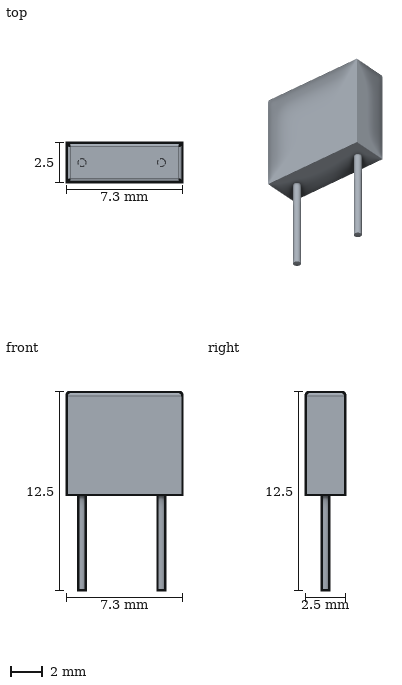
import cadquery as cq

body_length = 7.3
body_width = 2.5
body_height = 6.5
top_edge_radius = 0.25

lead_diameter = 0.5
lead_length = 6.0
lead_pitch = 5.0
lead_pair_offset = -0.1775


def make_body():
    """Block with rounded edges around its top face."""
    block = cq.Workplane("XY").box(
        body_length, body_width, body_height, centered=(True, True, False)
    )
    return block.faces(">Z").edges().fillet(top_edge_radius)


def make_lead(x):
    """Straight wire hanging from the underside of the body."""
    return (
        cq.Workplane("XY")
        .center(x, 0)
        .circle(lead_diameter / 2)
        .extrude(-lead_length)
    )


result = make_body()
for side in (-1, 1):
    result = result.union(make_lead(lead_pair_offset + side * lead_pitch / 2))